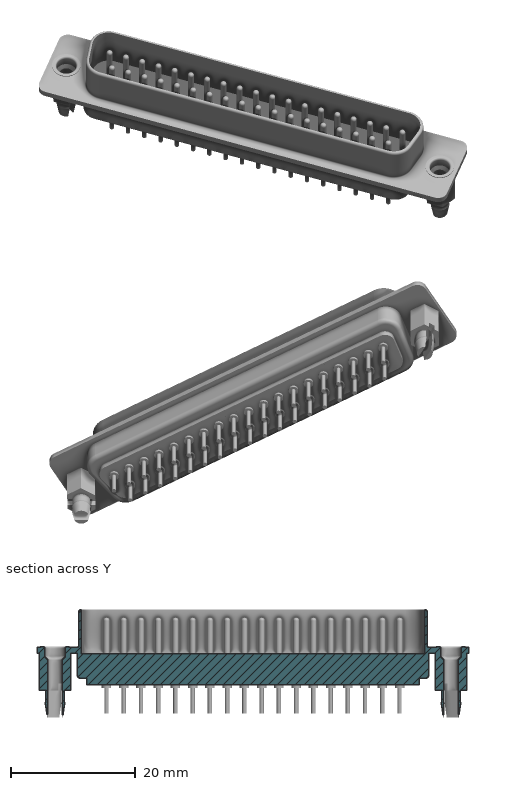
import cadquery as cq
import math


overall_height = 17.3

plate_length = 69.3
plate_width = 12.55
plate_thickness = 1.05
plate_corner_radius = 1.5

side_angle = math.radians(10)
shell_top_z = 7.1
shell_half_length = 28.2
shell_half_width = 4.7
shell_corner_radius = 3.1
shell_wall = 0.5
shell_floor_z = 0.0
shell_rim_radius = 0.4
shell_base_radius = 0.2

rear_shell_bottom_z = -4.0
rear_shell_half_length = 28.7
rear_shell_half_width = 5.35
rear_shell_corner_radius = 2.55
rear_shell_rim_radius = 0.7
insulator_bottom_z = -5.05
insulator_half_length = 27.05
insulator_half_width = 3.5
insulator_corner_radius = 1.5

long_row_count = 19
long_row_half_length = 24.9
pin_pitch = 2 * long_row_half_length / (long_row_count - 1)
row_spacing = 2.85
row_counts = {row_spacing / 2: long_row_count, -row_spacing / 2: long_row_count - 1}
pin_radius = 0.5
pin_top_z = 5.75
pin_tip_round = 0.4
pad_radius = 0.75
pad_bottom_z = -5.5
tail_radius = 0.35
tail_bottom_z = -9.65

boardlock_x = 31.75
hex_half_length = 2.55
hex_half_width = 2.35
hex_bottom_z = -5.9
neck_radius = 1.5
neck_bottom_z = -7.55
barb_radius = 1.6
barb_z = -8.0
tip_radius = 1.25
tip_bottom_z = shell_top_z - overall_height
flange_radius = 2.3
flange_height = 0.15
bore_radius = 1.1
socket_radius = 1.6
socket_depth = 1.65
socket_mouth_radius = 1.95
slit_width = 1.1
slit_top_z = -4.8
slit_angle = 30


def d_prism(half_length, half_width, corner_radius, z_start, z_end):
    """Rounded trapezoid prism, widest near its +Y side; half_length is half its extent in X."""
    arc_center_y = half_width - corner_radius
    reach = corner_radius / math.cos(side_angle)
    arc_center_x = half_length - corner_radius
    side_x = arc_center_x + reach - arc_center_y * math.tan(side_angle)
    taper = half_width * math.tan(side_angle)
    corners = [
        (-side_x - taper, half_width),
        (side_x + taper, half_width),
        (side_x - taper, -half_width),
        (-side_x + taper, -half_width),
    ]
    return (
        cq.Workplane("XY", origin=(0, 0, z_start))
        .polyline(corners)
        .close()
        .extrude(z_end - z_start)
        .edges("|Z")
        .fillet(corner_radius)
    )


def cylinder(x, y, radius, z_start, z_end):
    return cq.Workplane("XY", origin=(x, y, z_start)).circle(radius).extrude(z_end - z_start)


def make_plate():
    return (
        cq.Workplane("XY")
        .rect(plate_length, plate_width)
        .extrude(plate_thickness)
        .edges("|Z")
        .fillet(plate_corner_radius)
    )


def make_shell():
    return d_prism(
        shell_half_length, shell_half_width, shell_corner_radius, 0, shell_top_z
    )


def make_cavity():
    """Space inside the shell, open at the top, that the pins stand in."""
    return d_prism(
        shell_half_length - shell_wall,
        shell_half_width - shell_wall,
        shell_corner_radius - shell_wall,
        shell_floor_z,
        shell_top_z,
    )


def make_rear_body():
    rear_shell = d_prism(
        rear_shell_half_length,
        rear_shell_half_width,
        rear_shell_corner_radius,
        rear_shell_bottom_z,
        0,
    )
    rear_shell = rear_shell.faces("<Z").edges().fillet(rear_shell_rim_radius)
    insulator = d_prism(
        insulator_half_length,
        insulator_half_width,
        insulator_corner_radius,
        insulator_bottom_z,
        0,
    )
    return rear_shell.union(insulator)


def make_contact(x, y):
    pin = cylinder(x, y, pin_radius, 0, pin_top_z).faces(">Z").edges().fillet(pin_tip_round)
    pad = cylinder(x, y, pad_radius, pad_bottom_z, 0)
    tail = cylinder(x, y, tail_radius, tail_bottom_z, 0)
    return pin.union(pad).union(tail)


def make_boardlock(side):
    """Hex standoff with a split, barbed peg; side is +1 or -1 along X."""
    hexagon = [
        (hex_half_length, 0),
        (hex_half_length / 2, hex_half_width),
        (-hex_half_length / 2, hex_half_width),
        (-hex_half_length, 0),
        (-hex_half_length / 2, -hex_half_width),
        (hex_half_length / 2, -hex_half_width),
    ]
    standoff = (
        cq.Workplane("XY", origin=(0, 0, hex_bottom_z))
        .polyline(hexagon)
        .close()
        .extrude(-hex_bottom_z)
    )
    peg = (
        cq.Workplane("XZ")
        .polyline([
            (0, hex_bottom_z),
            (neck_radius, hex_bottom_z),
            (neck_radius, neck_bottom_z),
            (barb_radius, barb_z),
            (tip_radius, tip_bottom_z),
            (0, tip_bottom_z),
        ])
        .close()
        .revolve(360, (0, 0, 0), (0, 1, 0))
    )
    flange = cylinder(0, 0, flange_radius, 0, plate_thickness + flange_height)
    slit_length = 4 * hex_half_length
    slit_height = slit_top_z - tip_bottom_z
    slit = (
        cq.Workplane("XY", origin=(0, 0, tip_bottom_z))
        .rect(slit_length, slit_width)
        .extrude(slit_height)
        .rotate((0, 0, 0), (0, 0, 1), side * slit_angle)
    )
    boardlock = standoff.union(peg).union(flange).cut(slit)
    return boardlock.translate((side * boardlock_x, 0, 0))


def make_bore(side):
    """Socket with a rounded mouth and a conical floor, and the narrower bore that opens into the slit."""
    mouth_z = plate_thickness + flange_height
    floor_z = mouth_z - socket_depth
    mouth_round = socket_mouth_radius - socket_radius
    arc_inset = mouth_round * (1 - math.sqrt(0.5))
    return (
        cq.Workplane("XZ")
        .moveTo(0, hex_bottom_z)
        .lineTo(bore_radius, hex_bottom_z)
        .lineTo(bore_radius, floor_z - (socket_radius - bore_radius))
        .lineTo(socket_radius, floor_z)
        .lineTo(socket_radius, mouth_z - mouth_round)
        .threePointArc(
            (socket_radius + arc_inset, mouth_z - arc_inset),
            (socket_mouth_radius, mouth_z),
        )
        .lineTo(0, mouth_z)
        .close()
        .revolve(360, (0, 0, 0), (0, 1, 0))
        .translate((side * boardlock_x, 0, 0))
    )


result = make_plate().union(make_shell())
result = result.faces(">Z").edges().fillet(shell_rim_radius)
margin = 0.1
shell_base = cq.selectors.BoxSelector(
    (-shell_half_length - margin, -shell_half_width - margin, plate_thickness - margin),
    (shell_half_length + margin, shell_half_width + margin, plate_thickness + margin),
)
result = result.edges(shell_base).fillet(shell_base_radius)
result = result.union(make_rear_body()).cut(make_cavity())

for side in (-1, 1):
    result = result.union(make_boardlock(side)).cut(make_bore(side))

for row_y, count in row_counts.items():
    for index in range(count):
        pin_x = (index - (count - 1) / 2) * pin_pitch
        result = result.union(make_contact(pin_x, row_y))